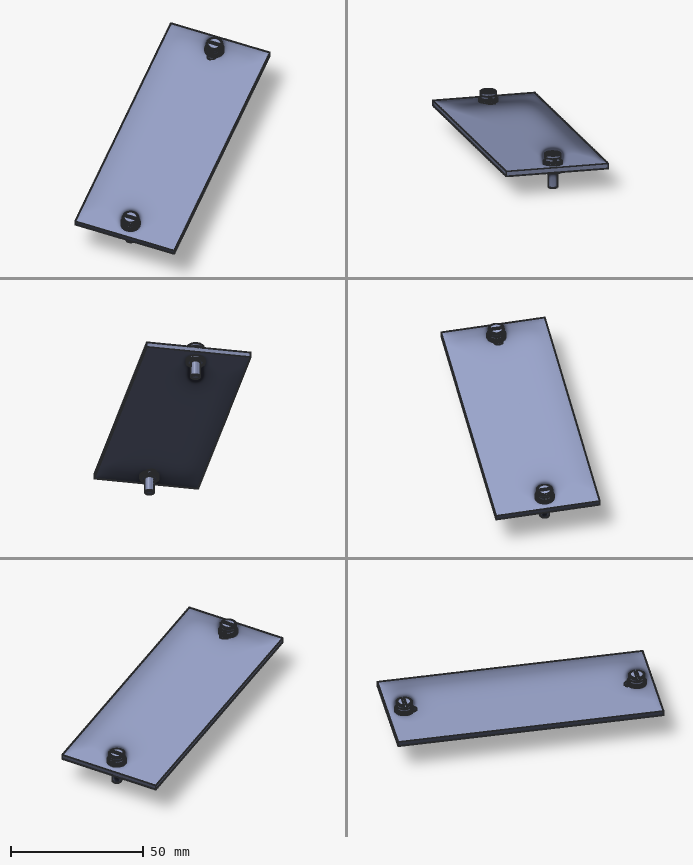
import cadquery as cq

plate_width = 40.0
plate_length = 102.2
plate_thickness = 2.0

screw_spacing = 89.6
slot_width = 3.5
slot_travel = 3.0

head_radius = 3.05
head_height = 4.03
head_chamfer_width = 0.5
head_chamfer_height = 0.4
driver_slot_width = 1.0
driver_slot_depth = 1.0

neck_height = 1.25
neck_groove_depth = 0.25
window_width = 1.0

washer_radius = 3.6
upper_washer_height = 1.2
upper_chamfer_width = 0.45
upper_chamfer_height = 0.5
lower_washer_height = 1.3
lower_bottom_chamfer = 0.2

serration_count = 18
serration_pitch_angle = 360 / serration_count
serration_width = 0.6
serration_depth = 0.55
serration_overrun = 0.1

shank_radius = 1.8
shank_length = 7.5
shank_chamfer = 0.35

plate_top = plate_thickness
head_top = plate_top + head_height
shank_bottom = -shank_length


def make_plate():
    return cq.Workplane("XY").box(
        plate_width, plate_length, plate_thickness, centered=(True, True, False)
    )


def make_travel_slot():
    """Vertical cutter for a slot running from the screw axis toward +Y."""
    run = cq.Workplane("XY").box(
        slot_width, slot_travel, plate_thickness, centered=(True, False, False)
    )
    end = cq.Workplane("XY").center(0, slot_travel).circle(slot_width / 2).extrude(plate_thickness)
    return run.union(end)


def make_serrations(bottom):
    """Ring of radial notch cutters reaching from the head radius past the washer edge."""
    outer_radius = washer_radius + serration_overrun
    middle_radius = (head_radius + outer_radius) / 2
    return (
        cq.Workplane("XY")
        .workplane(offset=bottom)
        .polarArray(middle_radius, serration_pitch_angle / 4, 360, serration_count)
        .rect(outer_radius - head_radius, serration_width)
        .extrude(serration_depth)
    )


def make_upper_washer():
    top = plate_top + upper_washer_height
    profile = [
        (0, plate_top),
        (washer_radius, plate_top),
        (washer_radius, top - upper_chamfer_height),
        (washer_radius - upper_chamfer_width, top),
        (0, top),
    ]
    washer = cq.Workplane("XZ").polyline(profile).close().revolve(360, (0, 0), (0, 1))
    return washer.cut(make_serrations(top - serration_depth))


def make_lower_washer():
    bottom = -lower_washer_height
    profile = [
        (0, 0),
        (washer_radius, 0),
        (washer_radius, bottom + lower_bottom_chamfer),
        (washer_radius - lower_bottom_chamfer, bottom),
        (0, bottom),
    ]
    washer = cq.Workplane("XZ").polyline(profile).close().revolve(360, (0, 0), (0, 1))
    return washer.cut(make_serrations(bottom))


def make_screw():
    """Turned screw body: chamfered shank, concave neck and chamfered head."""
    groove_bottom = plate_top + upper_washer_height
    groove_top = groove_bottom + neck_height
    groove_middle = (groove_bottom + groove_top) / 2
    return (
        cq.Workplane("XZ")
        .moveTo(0, shank_bottom)
        .lineTo(shank_radius - shank_chamfer, shank_bottom)
        .lineTo(shank_radius, shank_bottom + shank_chamfer)
        .lineTo(shank_radius, plate_top)
        .lineTo(head_radius, plate_top)
        .lineTo(head_radius, groove_bottom)
        .threePointArc((head_radius - neck_groove_depth, groove_middle), (head_radius, groove_top))
        .lineTo(head_radius, head_top - head_chamfer_height)
        .lineTo(head_radius - head_chamfer_width, head_top)
        .lineTo(0, head_top)
        .close()
        .revolve(360, (0, 0), (0, 1))
    )


def cut_driver_slot(screw):
    cutter = cq.Workplane("XY").box(
        2 * head_radius, driver_slot_width, driver_slot_depth, centered=(True, True, False)
    )
    return screw.cut(cutter.translate((0, 0, head_top - driver_slot_depth)))


def cut_neck_window(screw):
    """Rectangular opening through the neck along Y, resting on the upper washer."""
    cutter = cq.Workplane("XY").box(
        window_width, 2 * head_radius, neck_height, centered=(True, True, False)
    )
    return screw.cut(cutter.translate((0, 0, plate_top + upper_washer_height)))


def make_fastener():
    """Screw with both washers, standing on the Z axis with its slot toward +Y."""
    screw = cut_neck_window(cut_driver_slot(make_screw()))
    return screw.union(make_upper_washer()).union(make_lower_washer())


axis_start = (0, 0, 0)
axis_end = (0, 0, 1)
result = make_plate()
for turn, y in ((0, -screw_spacing / 2), (180, screw_spacing / 2)):
    slot = make_travel_slot().rotate(axis_start, axis_end, turn).translate((0, y, 0))
    fastener = make_fastener().rotate(axis_start, axis_end, turn).translate((0, y, 0))
    result = result.cut(slot).union(fastener)